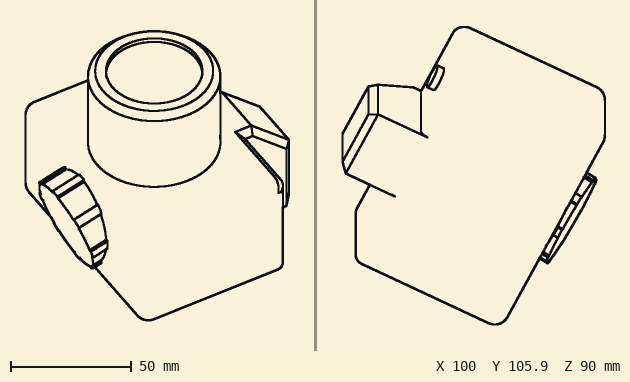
import cadquery as cq

BLOCK_WIDTH = 100.0
BLOCK_DEPTH = 70.0
BLOCK_HEIGHT = 50.0
BLOCK_FILLET = 6.0
REAR_BOTTOM_FILLET = 3.0
EDGE_CHAMFER = 3.0
CHAMFER_ANGLE = 45.0
FRONT_Y = -BLOCK_DEPTH / 2
REAR_Y = BLOCK_DEPTH / 2

GRIP_WIDTH = 29.8
GRIP_LENGTH = 23.0
GRIP_FLAT_LENGTH = 4.8
GRIP_SLOPE_DROP = 16.6
GRIP_ROOT = 10.0
GRIP_END_Y = REAR_Y + GRIP_LENGTH

BARREL_DIAMETER = 55.0
BARREL_HEIGHT = 40.0
RECESS_DIAMETER = 40.0
RECESS_DEPTH = 2.0
BARREL_TOP_Z = BLOCK_HEIGHT + BARREL_HEIGHT

BUTTON_DIAMETER = 10.0
BUTTON_HEIGHT = 3.0
BUTTON_X = -31.0
BUTTON_Z = BLOCK_HEIGHT / 2

DIAL_DIAMETER = 40.0
DIAL_THICKNESS = 15.0
DIAL_PROJECTION = 7.69
DIAL_TILT = 15.0
DIAL_RIB_COUNT = 8
DIAL_RIB_WIDTH = 4.0
DIAL_RIB_HEIGHT = 1.0


def make_rounded_block():
    block = cq.Workplane("XY").box(BLOCK_WIDTH, BLOCK_DEPTH, BLOCK_HEIGHT, centered=(True, True, False))
    block = block.edges("|Y or |Z or <Y").fillet(BLOCK_FILLET)
    rear_bottom_edge = cq.selectors.NearestToPointSelector((0, REAR_Y, 0))
    return block.edges(rear_bottom_edge).fillet(REAR_BOTTOM_FILLET)


def make_chamfer_envelope():
    """Slab whose top is the rear chamfer plane, with its ends rounded like the sides of the block."""
    size = 2 * (BLOCK_DEPTH + BLOCK_HEIGHT)
    slab = cq.Workplane("XY").box(BLOCK_WIDTH, size, size).translate((0, 0, -size / 2))
    slab = slab.edges("|Y and >Z").fillet(BLOCK_FILLET)
    slab = slab.rotate((0, 0, 0), (1, 0, 0), -CHAMFER_ANGLE)
    return slab.translate((0, REAR_Y - EDGE_CHAMFER / 2, BLOCK_HEIGHT - EDGE_CHAMFER / 2))


def make_block():
    return make_rounded_block().intersect(make_chamfer_envelope())


def make_grip():
    profile = [
        (REAR_Y - GRIP_ROOT, 0),
        (GRIP_END_Y, 0),
        (GRIP_END_Y, BLOCK_HEIGHT - GRIP_SLOPE_DROP),
        (REAR_Y + GRIP_FLAT_LENGTH, BLOCK_HEIGHT),
        (REAR_Y - GRIP_ROOT, BLOCK_HEIGHT),
    ]
    grip = cq.Workplane("YZ").polyline(profile).close().extrude(GRIP_WIDTH / 2, both=True)
    side_edges = "(<X or >X) and (not <Z) and (not <Y)"
    rear_bottom_edge = ">Y and <Z"
    return grip.edges(f"({side_edges}) or ({rear_bottom_edge})").chamfer(EDGE_CHAMFER)


def make_barrel():
    top_face = cq.Workplane("XY").workplane(offset=BLOCK_HEIGHT)
    barrel = top_face.circle(BARREL_DIAMETER / 2).extrude(BARREL_HEIGHT)
    barrel = barrel.faces(">Z").chamfer(EDGE_CHAMFER)
    recess_floor = cq.Workplane("XY").workplane(offset=BARREL_TOP_Z - RECESS_DEPTH)
    return barrel.cut(recess_floor.circle(RECESS_DIAMETER / 2).extrude(RECESS_DEPTH))


def make_button():
    rear_face = cq.Workplane("XZ", origin=(BUTTON_X, REAR_Y, BUTTON_Z))
    return rear_face.circle(BUTTON_DIAMETER / 2).extrude(-BUTTON_HEIGHT)


def make_dial():
    front_face = cq.Workplane("XZ", origin=(0, FRONT_Y, BLOCK_HEIGHT / 2))
    tilted_face = front_face.transformed(rotate=(DIAL_TILT, 0, 0))
    back = tilted_face.workplane(offset=DIAL_PROJECTION - DIAL_THICKNESS)
    dial = back.circle(DIAL_DIAMETER / 2).extrude(DIAL_THICKNESS)
    rib_rim = back.circle(DIAL_DIAMETER / 2 + DIAL_RIB_HEIGHT).extrude(DIAL_THICKNESS)
    for i in range(DIAL_RIB_COUNT // 2):
        rib_plane = back.transformed(rotate=(0, 0, i * 360 / DIAL_RIB_COUNT))
        rib_bar = rib_plane.rect(2 * DIAL_DIAMETER, DIAL_RIB_WIDTH).extrude(DIAL_THICKNESS)
        dial = dial.union(rib_bar.intersect(rib_rim))
    front_space = front_face.circle(DIAL_DIAMETER).extrude(2 * DIAL_THICKNESS)
    return dial.intersect(front_space)


dial = make_dial()
housing = make_block().union(make_grip()).union(make_barrel()).union(make_button())

result = cq.Compound.makeCompound([housing.solids().val(), dial.solids().val()])